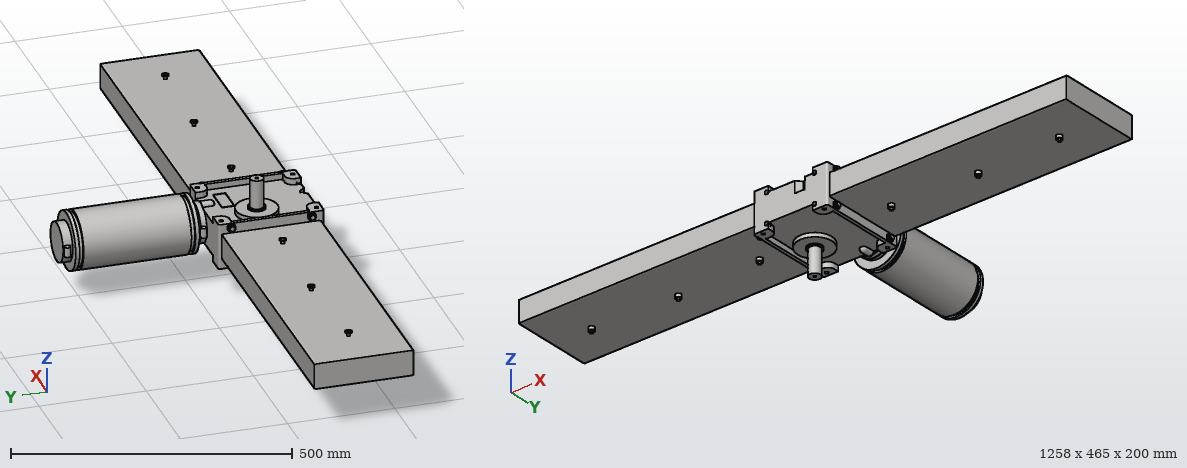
import cadquery as cq

BOX_X = 170.0
BOX_Y = 197.0
BOX_Z = 88.0
COVER_Z = 64.0
SIDE_PLATE = 7.5
CORNER_FILLET = 4.0
PAD_X = 26.5
PAD_Y = 26.0
PAD_RADIUS = 15.0
PAD_SCREW_D = 6.65
PAD_SCREW_X = 70.0
PAD_SCREW_Y = 89.0
PAD_SCREW_DEPTH = 20.0
FRONT_HOLE_D = 8.5
FRONT_HOLE_X = 55.0
FRONT_HOLE_DEPTH = 8.0

SHAFT_D = 25.0
SHAFT_LENGTH = 200.0
SHAFT_X = -33.5
SHAFT_Y = 11.0
CENTRE_HOLE_D = 4.92
CENTRE_HOLE_DEPTH = 20.0
BEARING_BOSS_D = 78.0
BEARING_BOSS_Z = 82.0
COLLAR_D = 32.0

MOTOR_X = 22.0
MOTOR_D = 110.0
MOTOR_GROOVE_D = 101.0
HUB_D = 75.0
NECK_D = 77.0
NECK_LENGTH = 11.0
FRONT_HUB_LENGTH = 8.0
FLANGE_LENGTH = 7.5
GROOVE_LENGTH = 7.5
BARREL_LENGTH = 201.0
MOTOR_LENGTH = 268.0
REAR_HUB_LENGTH = (
    MOTOR_LENGTH - NECK_LENGTH - FRONT_HUB_LENGTH - BARREL_LENGTH
    - 2 * (FLANGE_LENGTH + GROOVE_LENGTH)
)
LUG_D = 12.2
LUG_Z = 19.0
LUG_OFFSET = 41.0
LUG_INSET = 1.0

NOTCH_MOUTH = 23.0
NOTCH_FLOOR = 4.0
NOTCH_DEPTH = 11.0
NOTCH_BOTTOM_Z = 6.0
DOME_D = 16.0
DOME_LENGTH = 26.0
NAMEPLATE_X = 53.0
NAMEPLATE_Y = 23.0
NAMEPLATE_Z = 1.0
NAMEPLATE_CENTRE = (28.5, 53.0)

SIDE_BOLT_Y = 75.0
SIDE_BOLT_Z = 36.0
WASHER_D = 15.0
BOLT_HEAD_D = 10.0
WASHER_LENGTH = 3.5
BOLT_HEAD_LENGTH = 4.0

OVERALL_X = 1258.0
BEAM_X = (OVERALL_X - BOX_X) / 2
BEAM_Y = 185.0
BEAM_Z = 50.0
BEAM_BEVEL_Y = 4.0
BEAM_BEVEL_Z = 1.0
STUD_X = (151.5, 344.5, 537.5)
STUD_Y = (0.0, 8.0, 0.0)
STUD_D = 6.65
STUD_HEAD_D = 12.5
STUD_TOP_Z = 33.0
STUD_HEAD_LENGTH = 1.5
STUD_NUT_LENGTH = 7.0
STUD_BOTTOM_Z = 36.0


def block(x_size, y_size, z_size, centre=(0, 0, 0)):
    return cq.Workplane("XY").box(x_size, y_size, z_size).translate(centre)


def rod_z(diameter, z_low, z_high, x, y):
    """Upright cylinder between two heights."""
    base = cq.Workplane("XY", origin=(x, y, z_low))
    return base.circle(diameter / 2).extrude(z_high - z_low)


def rod_y(diameter, y_low, y_high, x, z):
    """Cylinder lying along Y."""
    base = cq.Workplane("XZ", origin=(x, y_low, z))
    return base.circle(diameter / 2).extrude(y_low - y_high)


def rod_x(diameter, x_low, x_high, y, z):
    """Cylinder lying along X."""
    base = cq.Workplane("YZ", origin=(x_low, y, z))
    return base.circle(diameter / 2).extrude(x_high - x_low)


def side_bolt(side, y, z):
    """Washer and bolt head standing out from a side plate."""
    plate = side * BOX_X / 2
    washer_end = plate + side * WASHER_LENGTH
    head_end = washer_end + side * BOLT_HEAD_LENGTH
    washer = rod_x(WASHER_D, plate, washer_end, y, z)
    return washer.union(rod_x(BOLT_HEAD_D, washer_end, head_end, y, z))


def corner_pad(x_side, y_side):
    """Full-height corner column with its inner edge rounded."""
    x = x_side * (BOX_X / 2 - SIDE_PLATE - PAD_X / 2)
    y = y_side * (BOX_Y / 2 - PAD_Y / 2)
    inner_face = "<X" if x_side > 0 else ">X"
    inner_end = "<Y" if y_side > 0 else ">Y"
    pad = block(PAD_X, PAD_Y, BOX_Z)
    pad = pad.faces(inner_face).edges("|Z").edges(inner_end).fillet(PAD_RADIUS)
    return pad.translate((x, y, 0))


def dome_boss(z):
    """Round-ended boss that runs in along Y from the motor side."""
    end_y = BOX_Y / 2 - DOME_LENGTH + DOME_D / 2
    rod = rod_y(DOME_D, end_y, BOX_Y / 2, MOTOR_X, z)
    ball = cq.Workplane("XY").sphere(DOME_D / 2).translate((MOTOR_X, end_y, z))
    return rod.union(ball)


def front_notch():
    """Tapered prism that opens through the -Y face and the top cover."""
    return (
        cq.Workplane("XY", origin=(MOTOR_X, -BOX_Y / 2, NOTCH_BOTTOM_Z))
        .moveTo(-NOTCH_MOUTH / 2, 0)
        .lineTo(-NOTCH_FLOOR / 2, NOTCH_DEPTH)
        .lineTo(NOTCH_FLOOR / 2, NOTCH_DEPTH)
        .lineTo(NOTCH_MOUTH / 2, 0)
        .close()
        .extrude(COVER_Z / 2 - NOTCH_BOTTOM_Z)
    )


def housing_blank():
    """Recessed core with raised side plates and corner pads, upright corners rounded."""
    blank = block(BOX_X - 2 * SIDE_PLATE, BOX_Y, COVER_Z)
    for x_side in (-1, 1):
        plate_x = x_side * (BOX_X - SIDE_PLATE) / 2
        blank = blank.union(block(SIDE_PLATE, BOX_Y, BOX_Z, (plate_x, 0, 0)))
        for y_side in (-1, 1):
            blank = blank.union(corner_pad(x_side, y_side))
    envelope = block(BOX_X, BOX_Y, BOX_Z).edges("|Z").fillet(CORNER_FILLET)
    return blank.intersect(envelope)


def front_hole(x_side, z_side):
    """Blind screw hole in the -Y face."""
    face_y = -BOX_Y / 2
    x = x_side * FRONT_HOLE_X
    z = z_side * COVER_Z / 2
    return rod_y(FRONT_HOLE_D, face_y, face_y + FRONT_HOLE_DEPTH, x, z)


def pad_screw_hole(x_side, y_side, z_side):
    """Blind screw hole in the top or bottom of a corner pad."""
    opening = z_side * BOX_Z / 2
    floor = opening - z_side * PAD_SCREW_DEPTH
    return rod_z(PAD_SCREW_D, floor, opening, x_side * PAD_SCREW_X, y_side * PAD_SCREW_Y)


def make_housing():
    housing = housing_blank()

    boss_z = BEARING_BOSS_Z / 2
    collar_z = BOX_Z / 2
    housing = housing.union(rod_z(BEARING_BOSS_D, -boss_z, boss_z, SHAFT_X, SHAFT_Y))
    housing = housing.union(rod_z(COLLAR_D, -collar_z, collar_z, SHAFT_X, SHAFT_Y))
    housing = housing.cut(rod_z(SHAFT_D, -collar_z, collar_z, SHAFT_X, SHAFT_Y))

    nameplate_z = (COVER_Z + NAMEPLATE_Z) / 2
    nameplate_place = (*NAMEPLATE_CENTRE, nameplate_z)
    housing = housing.union(block(NAMEPLATE_X, NAMEPLATE_Y, NAMEPLATE_Z, nameplate_place))
    housing = housing.cut(front_notch())

    for z_side in (-1, 1):
        housing = housing.union(dome_boss(z_side * COVER_Z / 2))
        for x_side in (-1, 1):
            housing = housing.cut(front_hole(x_side, z_side))
            for y_side in (-1, 1):
                housing = housing.cut(pad_screw_hole(x_side, y_side, z_side))
                bolt = side_bolt(x_side, y_side * SIDE_BOLT_Y, z_side * SIDE_BOLT_Z)
                housing = housing.union(bolt)
    return housing


def make_shaft():
    half = SHAFT_LENGTH / 2
    shaft = rod_z(SHAFT_D, -half, half, SHAFT_X, SHAFT_Y)
    for end in (-1, 1):
        depth_z = end * (half - CENTRE_HOLE_DEPTH)
        shaft = shaft.cut(rod_z(CENTRE_HOLE_D, depth_z, end * half, SHAFT_X, SHAFT_Y))
    return shaft


def make_motor():
    """Stack of coaxial cylinders that starts on the +Y face of the housing."""
    stages = [
        (NECK_D, NECK_LENGTH),
        (HUB_D, FRONT_HUB_LENGTH),
        (MOTOR_D, FLANGE_LENGTH),
        (MOTOR_GROOVE_D, GROOVE_LENGTH),
        (MOTOR_D, BARREL_LENGTH),
        (MOTOR_GROOVE_D, GROOVE_LENGTH),
        (MOTOR_D, FLANGE_LENGTH),
        (HUB_D, REAR_HUB_LENGTH),
    ]
    start = BOX_Y / 2
    lug_x = MOTOR_X - LUG_OFFSET
    lug_y_places = (
        start + LUG_INSET + LUG_D / 2,
        start + MOTOR_LENGTH - LUG_INSET - LUG_D / 2,
    )
    motor = cq.Workplane("XY")
    for diameter, length in stages:
        motor = motor.union(rod_y(diameter, start, start + length, MOTOR_X, 0))
        start += length
    for lug_y in lug_y_places:
        motor = motor.union(rod_z(LUG_D, -LUG_Z / 2, LUG_Z / 2, lug_x, lug_y))
    return motor


def make_beam(side):
    """Flat beam with three studs through it, on one side of the housing."""
    half_y = BEAM_Y / 2
    half_z = BEAM_Z / 2
    start_x = BOX_X / 2 if side > 0 else -BOX_X / 2 - BEAM_X
    beam = (
        cq.Workplane("YZ", origin=(start_x, 0, 0))
        .moveTo(half_y, half_z - BEAM_BEVEL_Z)
        .lineTo(half_y - BEAM_BEVEL_Y, half_z)
        .lineTo(BEAM_BEVEL_Y - half_y, half_z)
        .lineTo(-half_y, half_z - BEAM_BEVEL_Z)
        .lineTo(-half_y, BEAM_BEVEL_Z - half_z)
        .lineTo(BEAM_BEVEL_Y - half_y, -half_z)
        .lineTo(half_y - BEAM_BEVEL_Y, -half_z)
        .lineTo(half_y, BEAM_BEVEL_Z - half_z)
        .close()
        .extrude(BEAM_X)
    )
    for distance, y in zip(STUD_X, STUD_Y):
        x = side * distance
        head_z = STUD_TOP_Z - STUD_HEAD_LENGTH
        nut_z = -half_z - STUD_NUT_LENGTH
        beam = beam.union(rod_z(STUD_D, -STUD_BOTTOM_Z, STUD_TOP_Z, x, y))
        beam = beam.union(rod_z(STUD_HEAD_D, head_z, STUD_TOP_Z, x, y))
        beam = beam.union(rod_z(STUD_HEAD_D, nut_z, -half_z, x, y))
    return beam


housing = make_housing()
shaft = make_shaft()
motor = make_motor()
beams = [make_beam(side) for side in (-1, 1)]

result = cq.Compound.makeCompound(
    [housing.val(), shaft.val(), motor.val(), *[beam.val() for beam in beams]]
)